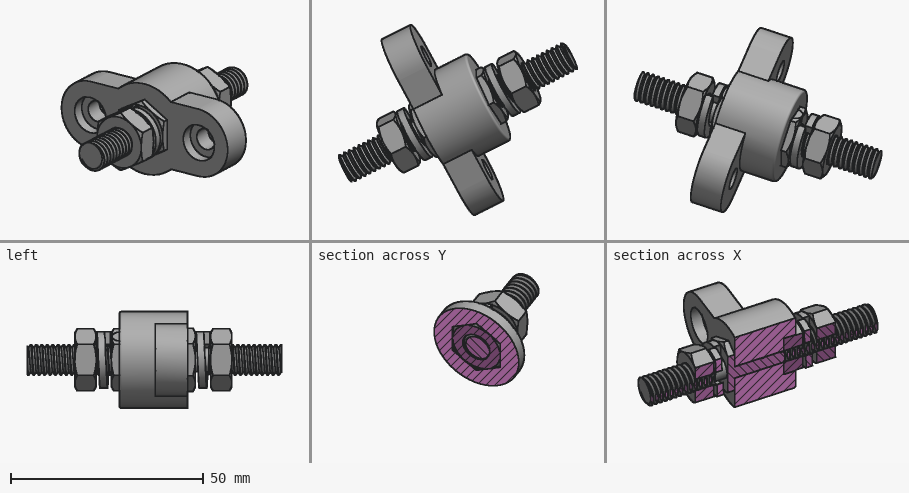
import cadquery as cq
import math

INCH = 25.4

body_diameter = 0.99 * INCH
body_length = 0.7 * INCH
rim_radius = 0.025 * INCH
ear_thickness = 0.33 * INCH
overall_width = 52.68
ear_radius = 9.4
hole_center_x = 17.2
screw_hole_diameter = 5.75
counterbore_diameter = 9.85
counterbore_depth = 3.2

major_diameter = 5 / 16 * INCH
core_diameter = 6.35
relief_diameter = 6.25
pitch = INCH / 18
groove_overshoot = 0.05
crest_width = pitch / 8
stud_length = 2.6 * INCH
front_end_y = -24.4
rear_end_y = front_end_y + stud_length
front_thread_length = 18.9
front_groove_angle = 73
rear_groove_angle = 185

head_across_flats = 9 / 16 * INCH
head_height = 2.0
nut_across_flats = 14.0
nut_thickness = 7 / 32 * INCH
corner_chamfer_angle = math.radians(30)
nut_protrusion = 2.05
nut_pocket_depth = nut_thickness - nut_protrusion

plug_diameter = 3 / 16 * INCH
plug_depth = 2.5
plug_tilt = 30

washer_diameter = 14.7
washer_bore = 8.15
washer_thickness = 1.95
washer_stack_height = 3.95
washer_rise = 1.65
washer_split_angle = 3

head_face_y = -head_height
front_nut_y = head_face_y - washer_stack_height - nut_thickness
seated_nut_y = body_length - nut_pocket_depth
seated_nut_face_y = seated_nut_y + nut_thickness
rear_nut_y = seated_nut_face_y + washer_stack_height


def along_y(shape, start_y):
    """Turn a shape built up along Z so that it runs along +Y from start_y."""
    return shape.rotate((0, 0, 0), (1, 0, 0), -90).translate((0, start_y, 0))


def cylinder(diameter, length):
    return cq.Workplane("XY").circle(diameter / 2).extrude(length)


def hexagon(across_flats, length):
    """Hexagonal prism with flats facing +X and -X."""
    across_corners = across_flats / math.cos(math.pi / 6)
    prism = cq.Workplane("XY").polygon(6, across_corners).extrude(length)
    return prism.rotate((0, 0, 0), (0, 0, 1), 30)


def corner_cutter(across_flats, length, chamfer_bottom):
    """Turned envelope that bevels the hexagon corners at the ends."""
    face_radius = across_flats / 2
    corner_radius = face_radius / math.cos(math.pi / 6)
    drop = (corner_radius - face_radius) * math.tan(corner_chamfer_angle)
    profile = cq.Workplane("XZ").moveTo(0, 0)
    if chamfer_bottom:
        profile = profile.lineTo(face_radius, 0).lineTo(corner_radius, drop)
    else:
        profile = profile.lineTo(corner_radius, 0)
    profile = profile.lineTo(corner_radius, length - drop).lineTo(face_radius, length).lineTo(0, length)
    return profile.close().revolve(360, (0, 0, 0), (0, 1, 0))


def chamfered_hexagon(across_flats, length, chamfer_bottom):
    return hexagon(across_flats, length).intersect(corner_cutter(across_flats, length, chamfer_bottom))


def groove_turn():
    """One turn of the right-handed V groove as a closed solid, starting on the +X side at z = 0."""
    root_radius = core_diameter / 2
    depth = major_diameter / 2 - root_radius
    mouth_depth = depth + groove_overshoot
    mouth_half_width = (pitch - crest_width) / 2 * mouth_depth / depth
    mouth_radius = root_radius + mouth_depth
    corners = [(root_radius, 0), (mouth_radius, mouth_half_width), (mouth_radius, -mouth_half_width)]

    edges = [cq.Wire.makeHelix(pitch, pitch, radius).translate(cq.Vector(0, 0, z)) for radius, z in corners]
    faces = [cq.Face.makeRuledSurface(edges[i - 1], edges[i]) for i in range(len(edges))]
    for end_z in (0, pitch):
        triangle = [cq.Vector(radius, 0, end_z + z) for radius, z in corners]
        faces.append(cq.Face.makeFromWires(cq.Wire.makePolygon(triangle, close=True)))
    return cq.Solid.makeSolid(cq.Shell.makeShell(faces))


def threaded_rod(length, groove_angle):
    """Rod whose thread groove runs out past both ends."""
    turn = groove_turn().rotate(cq.Vector(0, 0, 0), cq.Vector(0, 0, 1), groove_angle)
    last_turn = math.ceil(length / pitch)
    turns = [turn.translate(cq.Vector(0, 0, i * pitch)) for i in range(-1, last_turn + 1)]
    return cq.Workplane(cylinder(major_diameter, length).val().cut(*turns))


def make_housing():
    body = along_y(cylinder(body_diameter, body_length).faces(">Z").edges().fillet(rim_radius), 0)
    ears = along_y(
        cq.Workplane("XY").slot2D(overall_width, 2 * ear_radius).extrude(ear_thickness), 0
    )
    housing = body.union(ears)
    for side in (-1, 1):
        screw_hole = cylinder(screw_hole_diameter, ear_thickness)
        counterbore = cylinder(counterbore_diameter, counterbore_depth)
        housing = housing.cut(along_y(screw_hole.union(counterbore), 0).translate((side * hole_center_x, 0, 0)))
    housing = housing.cut(along_y(cylinder(major_diameter, body_length), 0))
    return housing.cut(along_y(hexagon(nut_across_flats, nut_pocket_depth), seated_nut_y))


def make_stud():
    head = along_y(chamfered_hexagon(head_across_flats, head_height, False), 0)
    head = head.mirror("XZ")
    shank = along_y(cylinder(major_diameter, seated_nut_y), 0)
    relief_length = -front_end_y - front_thread_length
    relief = along_y(cylinder(relief_diameter, relief_length), -relief_length)
    front_thread = along_y(threaded_rod(front_thread_length, front_groove_angle), front_end_y)
    rear_thread = along_y(threaded_rod(rear_end_y - seated_nut_y, rear_groove_angle), seated_nut_y)
    return head.union(shank).union(relief).union(front_thread).union(rear_thread)


def make_nut(start_y):
    blank = chamfered_hexagon(nut_across_flats, nut_thickness, True)
    return along_y(blank.cut(cylinder(major_diameter, nut_thickness)), start_y)


def make_lock_washer(start_y):
    """One turn of rectangular section climbing along the stud, split at the top."""
    turn = 1 - washer_split_angle / 360
    mean_radius = (washer_diameter + washer_bore) / 4
    path = cq.Wire.makeHelix(washer_rise, washer_rise * turn, mean_radius)
    coil = (
        cq.Workplane("XZ")
        .center(mean_radius, 0)
        .rect((washer_diameter - washer_bore) / 2, washer_thickness)
        .sweep(cq.Workplane(path), isFrenet=True)
        .rotate((0, 0, 0), (0, 0, 1), -90)
    )
    clearance = (washer_stack_height - washer_rise * turn) / 2
    return along_y(coil, start_y + clearance)


def plug_bar():
    """Bar square to the upper -X flat of the seated nut, reaching the stud axis."""
    bar = cylinder(plug_diameter, nut_across_flats).rotate((0, 0, 0), (0, 1, 0), -plug_tilt)
    return bar.translate((0, seated_nut_face_y - plug_depth, 0))


housing = make_housing()
stud = make_stud()
seated_nut_blank = make_nut(seated_nut_y)
plug = seated_nut_blank.intersect(plug_bar())
seated_nut = seated_nut_blank.cut(plug_bar())
outer_nuts = [make_nut(start_y) for start_y in (front_nut_y, rear_nut_y)]
lock_washers = [make_lock_washer(start_y) for start_y in (head_face_y - washer_stack_height, seated_nut_face_y)]

result = cq.Compound.makeCompound(
    [housing.val(), stud.val(), seated_nut.val(), plug.val()]
    + [nut.val() for nut in outer_nuts]
    + [washer.val() for washer in lock_washers]
)